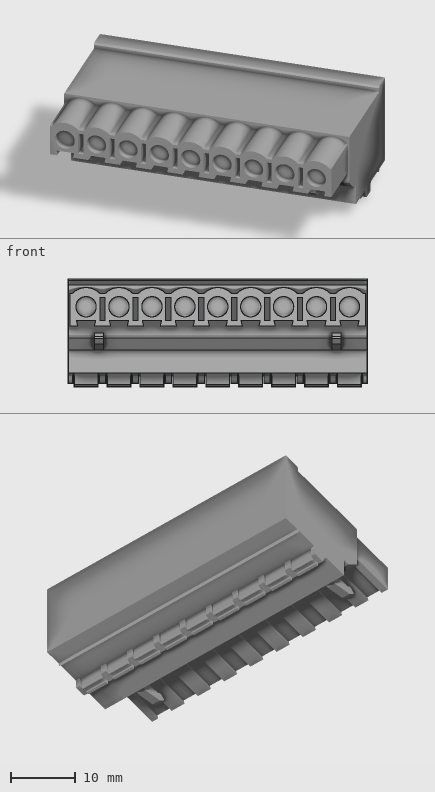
import cadquery as cq
import math


length = 46.35
total_depth = 26.6
total_height = 16.75

pole_count = 9
pole_pitch = 5.1

body_depth = 18.3
body_bottom = 2.2
rear_lip_depth = 3.15
rear_lip_height = 0.93
rear_lip_chamfer = 0.3
body_top = total_height - rear_lip_height
lower_depth = 14.9
overhang_depth = 16.05
overhang_z = 5.7
front_bottom_z = 7.92
front_edge_height = 0.32
front_edge_depth = 0.1

bead_centre = 3.15
bead_half_width = 0.25
bead_height = 0.5

sleeve_width = 45.75
sleeve_bottom = 9.45
sleeve_shoulder_z = 14.45
socket_z = 12.4
socket_radius = 1.58
socket_depth = 1.1
dome_radius = 2.95
keyway_top = 10.3
keyway_top_width = 2.95
keyway_mouth_width = 2.6
slot_width = 0.85
slot_top = 13.85

latch_width = 1.4
latch_offset = 18.4
latch_flat_end = 18.05
latch_belly_depth = 21.75
latch_belly_z = 6.63
latch_tip_depth = 22.8
latch_tip_bottom = 7.5
latch_tip_top = 7.85
hook_start = 21.22
hook_crest_start = 21.7
hook_crest_end = 22.0
hook_top = 8.35

rib_width = 1.0
rib_bottom = 0.55
rib_rear = 7.45
rib_rear_flare = 0.15
rib_front_flare = 0.3
rib_flare_height = 0.35
rib_slope_top_depth = 10.05
rib_slope_bottom_depth = 9.7
rib_toe_depth = 9.5
rib_toe_height = 0.32
foot_width = 3.7
foot_rear = 7.6
foot_front = 9.5
foot_front_bottom = 0.15
foot_front_chamfer_height = 0.25
foot_front_chamfer_depth = 0.1
foot_rear_leg_width = 0.55
foot_front_leg_width = 0.55
foot_tip_chamfer = 0.2

pole_xs = [(i - (pole_count - 1) / 2) * pole_pitch for i in range(pole_count)]
gap_xs = [x + pole_pitch / 2 for x in pole_xs[:-1]]


def side_prism(points, width, x_centre=0.0):
    """Extrude a side outline of (depth from the back face, z) points along X."""
    outline = [(-depth, z) for depth, z in points]
    prism = cq.Workplane("YZ").polyline(outline).close().extrude(width / 2, both=True)
    return prism.translate((x_centre, 0, 0))


def front_prism(points, depth_start, depth_end):
    """Extrude a front outline of (x, z) points between two depths."""
    plane = cq.Workplane("XZ", origin=(0, -depth_start, 0))
    return plane.polyline(points).close().extrude(depth_end - depth_start)


def make_housing():
    housing = side_prism(
        [
            (0, body_bottom),
            (0, total_height),
            (rear_lip_depth - rear_lip_chamfer, total_height),
            (rear_lip_depth, total_height - rear_lip_chamfer),
            (rear_lip_depth, body_top),
            (body_depth, body_top),
            (body_depth, front_bottom_z),
            (body_depth - front_edge_depth, front_bottom_z - front_edge_height),
            (overhang_depth, overhang_z),
            (lower_depth, overhang_z),
            (lower_depth, body_bottom),
        ],
        length,
    )
    bead = side_prism(
        [
            (bead_centre - bead_half_width, body_bottom),
            (bead_centre, body_bottom - bead_height),
            (bead_centre + bead_half_width, body_bottom),
        ],
        length,
    )
    return housing.union(bead)


def make_sleeves():
    half_width = sleeve_width / 2
    sleeves = front_prism(
        [
            (-half_width, sleeve_bottom),
            (half_width, sleeve_bottom),
            (half_width, sleeve_shoulder_z),
            (-half_width, sleeve_shoulder_z),
        ],
        body_depth,
        total_depth,
    )
    body_face = cq.Workplane("XZ", origin=(0, -body_depth, 0))
    sleeve_length = total_depth - body_depth

    dome_rise = sleeve_shoulder_z - socket_z
    dome_half_chord = math.sqrt(dome_radius**2 - dome_rise**2)
    for x in pole_xs:
        dome = (
            body_face.moveTo(x - dome_half_chord, sleeve_shoulder_z)
            .threePointArc((x, socket_z + dome_radius), (x + dome_half_chord, sleeve_shoulder_z))
            .close()
            .extrude(sleeve_length)
        )
        sleeves = sleeves.union(dome)

    for x in pole_xs:
        keyway = front_prism(
            [
                (x - keyway_mouth_width / 2, sleeve_bottom),
                (x - keyway_top_width / 2, keyway_top),
                (x + keyway_top_width / 2, keyway_top),
                (x + keyway_mouth_width / 2, sleeve_bottom),
            ],
            body_depth,
            total_depth,
        )
        sleeves = sleeves.cut(keyway)

    slots = (
        body_face.pushPoints([(x, (slot_top + keyway_top) / 2) for x in gap_xs])
        .rect(slot_width, slot_top - keyway_top)
        .extrude(sleeve_length)
    )

    sockets = (
        cq.Workplane("XZ", origin=(0, -total_depth, 0))
        .pushPoints([(x, socket_z) for x in pole_xs])
        .circle(socket_radius)
        .extrude(-socket_depth)
    )
    return sleeves.cut(slots).cut(sockets)


def make_latch(x):
    return side_prism(
        [
            (overhang_depth, overhang_z),
            (body_depth, front_bottom_z),
            (hook_start, front_bottom_z),
            (hook_crest_start, hook_top),
            (hook_crest_end, hook_top),
            (latch_tip_depth, latch_tip_top),
            (latch_tip_depth, latch_tip_bottom),
            (latch_belly_depth, latch_belly_z),
            (latch_flat_end, overhang_z),
        ],
        latch_width,
        x,
    )


def make_rib(x_start, x_end):
    """Tapered rib under the housing, flared where it meets the underside."""
    flare_z = body_bottom - rib_flare_height
    return side_prism(
        [
            (rib_rear - rib_rear_flare, body_bottom),
            (rib_rear, flare_z),
            (rib_rear, rib_bottom),
            (rib_toe_depth, rib_bottom),
            (rib_slope_bottom_depth, rib_bottom + rib_toe_height),
            (rib_slope_top_depth, flare_z),
            (rib_slope_top_depth + rib_front_flare, body_bottom),
        ],
        x_end - x_start,
        (x_start + x_end) / 2,
    )


def make_foot(x):
    """Wide foot ending in two legs, the rear one longer and pointed."""
    rear_leg_end = foot_rear + foot_rear_leg_width
    front_leg_start = foot_front - foot_front_leg_width
    return side_prism(
        [
            (foot_rear, body_bottom),
            (foot_rear, foot_tip_chamfer),
            (foot_rear + foot_tip_chamfer, 0),
            (rear_leg_end - foot_tip_chamfer, 0),
            (rear_leg_end, foot_tip_chamfer),
            (rear_leg_end, rib_bottom),
            (front_leg_start, rib_bottom),
            (front_leg_start, foot_front_bottom),
            (foot_front - foot_front_chamfer_depth, foot_front_bottom),
            (foot_front, foot_front_bottom + foot_front_chamfer_height),
            (foot_front, body_bottom),
        ],
        foot_width,
        x,
    )


result = make_housing().union(make_sleeves())

for side in (-1, 1):
    result = result.union(make_latch(side * latch_offset))

for x in pole_xs:
    result = result.union(make_foot(x))

for x in gap_xs:
    result = result.union(make_rib(x - rib_width / 2, x + rib_width / 2))

end_rib_inner_x = pole_xs[-1] + pole_pitch / 2 - rib_width / 2
result = result.union(make_rib(end_rib_inner_x, length / 2))
result = result.union(make_rib(-length / 2, -end_rib_inner_x))